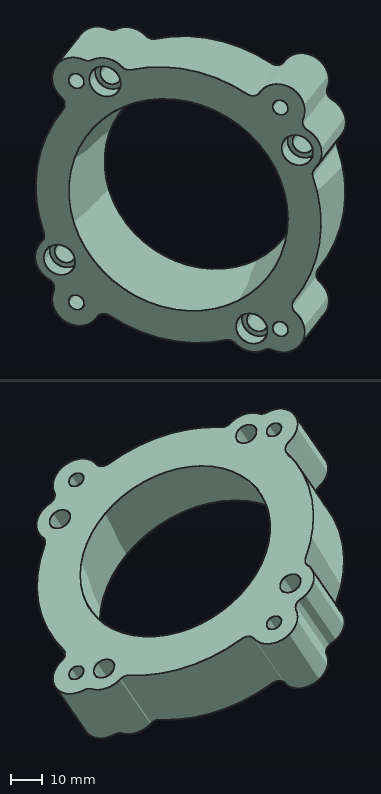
import cadquery as cq
import math

thickness = 25.0
ring_radius = 47.0
bore_front_radius = 36.1
bore_back_radius = 32.3

lug_radius = 8.0
corner_x = 33.6
corner_z = 38.05
bolt_long = 39.2
bolt_short = 24.2
root_fillet = 3.0

corner_hole_diameter = 5.0
bolt_hole_diameter = 7.0
counterbore_diameter = 10.3
counterbore_depth = 6.0

match_tolerance = 0.001
front_y = -thickness / 2

corner_points = [(sx * corner_x, sz * corner_z) for sx in (-1, 1) for sz in (-1, 1)]
bolt_points = [
    (bolt_long, bolt_short),
    (-bolt_short, bolt_long),
    (-bolt_long, -bolt_short),
    (bolt_short, -bolt_long),
]
lug_points = corner_points + bolt_points


def front_plane():
    return cq.Workplane("XZ", origin=(0, front_y, 0))


def cylinders(points, radius, length):
    """Cylinders starting on the front face and running toward +Y."""
    return front_plane().pushPoints(points).circle(radius).extrude(-length)


def is_junction(edge):
    """True where two round walls meet, false for a cylinder seam."""
    center = edge.Center()
    walls = [((0, 0), ring_radius)] + [(point, lug_radius) for point in lug_points]
    touching = [
        wall_center
        for wall_center, radius in walls
        if abs(math.dist((center.x, center.z), wall_center) - radius) < match_tolerance
    ]
    return len(touching) > 1


def make_body():
    """Ring joined to its lugs, with every junction rounded."""
    body = cylinders([(0, 0)], ring_radius, thickness)
    for point in lug_points:
        body = body.union(cylinders([point], lug_radius, thickness))
    return body.edges("|Y").filter(is_junction).fillet(root_fillet)


def make_bore():
    """Conical bore, wide at the front and narrow at the back."""
    front_circle = front_plane().circle(bore_front_radius)
    back_circle = front_circle.workplane(offset=-thickness).circle(bore_back_radius)
    return back_circle.loft(ruled=True)


result = make_body().cut(make_bore())
result = result.cut(cylinders(corner_points, corner_hole_diameter / 2, thickness))
result = result.cut(cylinders(bolt_points, bolt_hole_diameter / 2, thickness))
result = result.cut(cylinders(bolt_points, counterbore_diameter / 2, counterbore_depth))